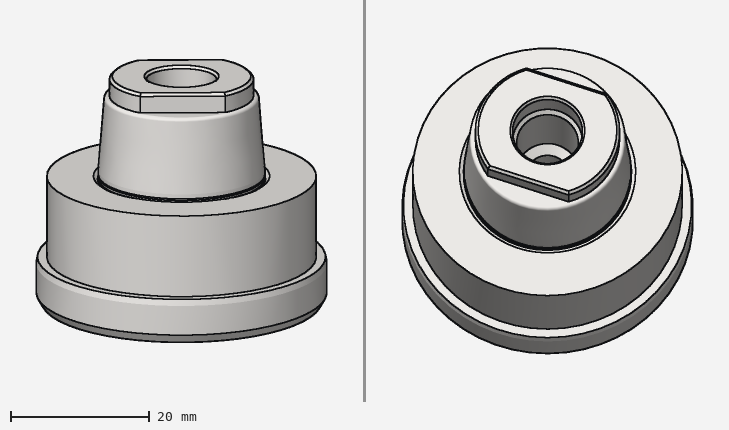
import cadquery as cq
import math

flange_radius = 21.0
flange_top = 6.7
body_radius = 19.45
body_top = 18.85
shoulder_z = 31.05
total_height = 33.95

flange_bottom_inset = 0.75
flange_bottom_rise = 1.35
flange_top_inset = 0.2
flange_top_drop = 0.92

neck_foot_radius = 12.05
neck_top_radius = 11.18
neck_taper_start = 19.85
neck_rounding = 0.55
foot_chamfer_radius = 11.95
foot_chamfer_top = 19.15
groove_radius = 12.75
groove_floor_radius = 12.15
groove_depth = 0.4

key_radius = 10.4
key_flat_distance = 8.4
key_flat_angle = 60.0
key_edge_chamfer = 0.4

bore_mouth_radius = 5.38
bore_upper_radius = 5.05
bore_lower_radius = 4.45
through_radius = 3.0
mouth_depth = 0.4
upper_bore_length = 3.57
lower_bore_end = body_top
drill_tip_angle = 118.0


def revolve(points):
    """Turn a closed (radius, z) outline about the Z axis."""
    return cq.Workplane("XZ").polyline(points).close().revolve(360, (0, 0, 0), (0, 1, 0))


def make_base():
    return revolve([
        (0, 0),
        (flange_radius - flange_bottom_inset, 0),
        (flange_radius, flange_bottom_rise),
        (flange_radius, flange_top - flange_top_drop),
        (flange_radius - flange_top_inset, flange_top),
        (body_radius, flange_top),
        (body_radius, body_top),
        (groove_radius, body_top),
        (groove_floor_radius, body_top - groove_depth),
        (0, body_top - groove_depth),
    ])


def make_neck():
    neck = revolve([
        (0, body_top - groove_depth),
        (foot_chamfer_radius, body_top - groove_depth),
        (foot_chamfer_radius, body_top),
        (neck_foot_radius, foot_chamfer_top),
        (neck_foot_radius, neck_taper_start),
        (neck_top_radius, shoulder_z),
        (0, shoulder_z),
    ])
    return neck.faces(">Z").edges().fillet(neck_rounding)


def make_key():
    height = total_height - shoulder_z
    disc = cq.Workplane("XY").circle(key_radius).extrude(height)
    slab = cq.Workplane("XY").rect(2 * key_radius, 2 * key_flat_distance).extrude(height)
    key = disc.intersect(slab).faces(">Z").edges().chamfer(key_edge_chamfer)
    return key.rotate((0, 0, 0), (0, 0, 1), key_flat_angle).translate((0, 0, shoulder_z))


def make_bore():
    upper_start = total_height - mouth_depth
    upper_end = upper_start - upper_bore_length
    lower_start = upper_end - (bore_upper_radius - bore_lower_radius)
    tip_depth = (bore_lower_radius - through_radius) / math.tan(math.radians(drill_tip_angle / 2))
    through_start = lower_bore_end - tip_depth
    return revolve([
        (0, 0),
        (through_radius, 0),
        (through_radius, through_start),
        (bore_lower_radius, lower_bore_end),
        (bore_lower_radius, lower_start),
        (bore_upper_radius, upper_end),
        (bore_upper_radius, upper_start),
        (bore_mouth_radius, total_height),
        (0, total_height),
    ])


result = make_base().union(make_neck()).union(make_key()).cut(make_bore())